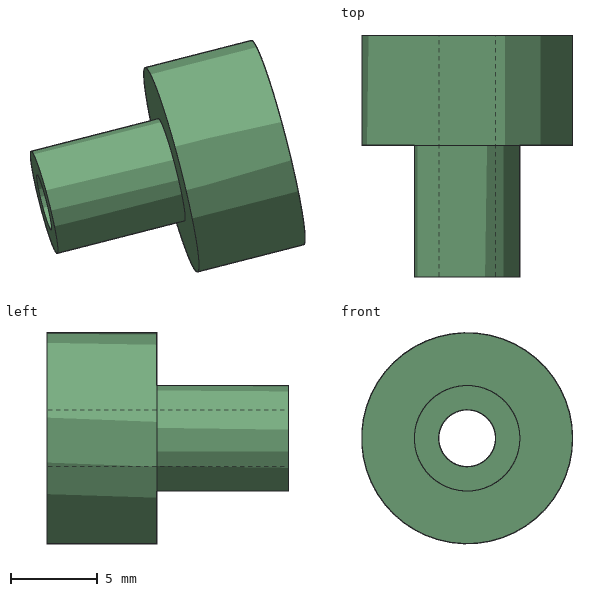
import cadquery as cq

total_length = 13.97
head_length = 6.35
head_diameter = 12.2
shank_diameter = head_diameter / 2
bore_diameter = 3.27

shank_length = total_length - head_length


def cylinder_along_y(diameter, length):
    """Cylinder from the shank tip (Y = 0) towards +Y."""
    return cq.Workplane("XZ").circle(diameter / 2).extrude(-length)


head = cylinder_along_y(head_diameter, head_length).translate((0, shank_length, 0))
shank = cylinder_along_y(shank_diameter, total_length)
bore = cylinder_along_y(bore_diameter, total_length)

result = head.union(shank).cut(bore)